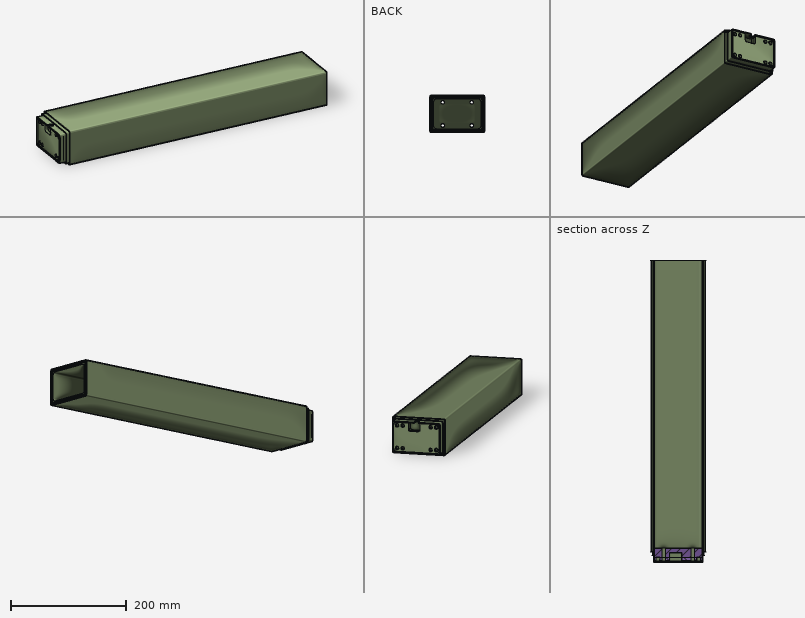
import cadquery as cq

OVERALL_LENGTH = 520.75
OUTER_WIDTH = 95.0
OUTER_HEIGHT = 65.0
STEP = 2.35
TUBE_CORNER_RADIUS = 3.5
OUTER_START = 18.0
MIDDLE_START = 12.0
TUBE_WALL = 1.5
INNER_WALL = 2.0
BORE_RADIUS = 5.0
RIM_CHAMFER = 0.75

PLATE_RECESS = 2.5
PLATE_THICKNESS = 6.0
BLOCK_THICKNESS = 16.0

HOLE_Z = 20.0
THROUGH_HOLE_X = 25.0
THROUGH_HOLE_DIAMETER = 6.0
SCREW_HOLE_X = 35.0
SCREW_HOLE_DIAMETER = 6.2

POCKET_WIDTH = 20.5
POCKET_CENTER_X = -4.5
POCKET_FLOOR_Z = 10.6
POCKET_RADIUS = 3.7
POCKET_DEPTH_IN_BLOCK = 8.0

NOTCH_WIDTH = 8.0
NOTCH_LENGTH = 11.0

MIDDLE_WIDTH = OUTER_WIDTH - 2 * STEP
MIDDLE_HEIGHT = OUTER_HEIGHT - 2 * STEP
INNER_WIDTH = MIDDLE_WIDTH - 2 * STEP
INNER_HEIGHT = MIDDLE_HEIGHT - 2 * STEP
TUBE_BORE_RADIUS = TUBE_CORNER_RADIUS - TUBE_WALL
BORE_WIDTH = INNER_WIDTH - 2 * INNER_WALL
BORE_HEIGHT = INNER_HEIGHT - 2 * INNER_WALL
PLATE_BACK = PLATE_RECESS + PLATE_THICKNESS
BLOCK_BACK = PLATE_BACK + BLOCK_THICKNESS


def rounded_bar(width, height, radius, start, end):
    """Bar along Y, centred on the column axis, with rounded long edges."""
    bar = cq.Workplane("XY").box(width, end - start, height, centered=(True, False, True))
    return bar.edges("|Y").fillet(radius).translate((0, start, 0))


def tube(width, height, wall, bore_radius, start):
    stock = rounded_bar(width, height, TUBE_CORNER_RADIUS, start, OVERALL_LENGTH)
    bore = rounded_bar(width - 2 * wall, height - 2 * wall, bore_radius, start, OVERALL_LENGTH)
    return stock.cut(bore)


def four_holes(x, diameter, start, end):
    centers = [(side * x, level * HOLE_Z) for side in (-1, 1) for level in (-1, 1)]
    plane = cq.Workplane("XZ", origin=(0, start, 0))
    return plane.pushPoints(centers).circle(diameter / 2).extrude(start - end)


def make_notch():
    half_width = NOTCH_WIDTH / 2
    arc_start = NOTCH_LENGTH - half_width
    outline = cq.Workplane("XY").moveTo(-half_width, 0).lineTo(half_width, 0).lineTo(half_width, arc_start)
    return outline.threePointArc((0, NOTCH_LENGTH), (-half_width, arc_start)).close().extrude(INNER_HEIGHT / 2)


def make_inner_tube():
    body = tube(INNER_WIDTH, INNER_HEIGHT, INNER_WALL, BORE_RADIUS, 0)
    outside_rim = body.faces("<Y").val().outerWire().Edges()
    body = body.newObject(outside_rim).chamfer(RIM_CHAMFER)
    return body.cut(make_notch())


def make_pocket():
    height = BORE_HEIGHT
    end = PLATE_BACK + POCKET_DEPTH_IN_BLOCK
    pocket = rounded_bar(POCKET_WIDTH, height, POCKET_RADIUS, PLATE_RECESS, end)
    return pocket.translate((POCKET_CENTER_X, 0, POCKET_FLOOR_Z + height / 2))


def make_end_plate():
    plate = rounded_bar(BORE_WIDTH, BORE_HEIGHT, BORE_RADIUS, PLATE_RECESS, PLATE_BACK)
    plate = plate.cut(four_holes(THROUGH_HOLE_X, THROUGH_HOLE_DIAMETER, PLATE_RECESS, PLATE_BACK))
    plate = plate.cut(four_holes(SCREW_HOLE_X, SCREW_HOLE_DIAMETER, PLATE_RECESS, PLATE_BACK))
    return plate.cut(make_pocket())


def make_backing_block():
    block = rounded_bar(BORE_WIDTH, BORE_HEIGHT, BORE_RADIUS, PLATE_BACK, BLOCK_BACK)
    block = block.cut(four_holes(THROUGH_HOLE_X, THROUGH_HOLE_DIAMETER, PLATE_BACK, BLOCK_BACK))
    return block.cut(make_pocket())


outer_tube = tube(OUTER_WIDTH, OUTER_HEIGHT, TUBE_WALL, TUBE_BORE_RADIUS, OUTER_START)
middle_tube = tube(MIDDLE_WIDTH, MIDDLE_HEIGHT, TUBE_WALL, TUBE_BORE_RADIUS, MIDDLE_START)
inner_tube = make_inner_tube()
end_plate = make_end_plate()
backing_block = make_backing_block()

result = cq.Compound.makeCompound([
    outer_tube.val(),
    middle_tube.val(),
    inner_tube.val(),
    end_plate.val(),
    backing_block.val(),
])